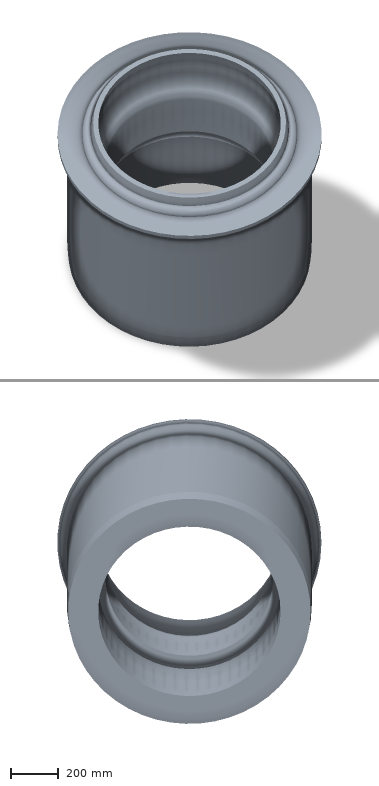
import cadquery as cq
import math

TOTAL_HEIGHT = 850.0
CASING_CHAMFER_TOP = 66.0
CASING_TAPER_START = 693.0
CASING_TOP = 719.0
FLANGE_BOTTOM = 760.0
FLANGE_THICKNESS = 20.0
FLANGE_TOP = FLANGE_BOTTOM + FLANGE_THICKNESS

FLANGE_RADIUS = 1100 / 2
CASING_RADIUS = 1020.0 / 2
CASING_INNER_RADIUS = 980.0 / 2
CASING_BASE_RADIUS = 1010.0 / 2
CASING_RIM_RADIUS = 1015.0 / 2
LOWER_RING_RADIUS = 1080.0 / 2
LOWER_RING_ROUND = FLANGE_BOTTOM - CASING_TOP
UPPER_RING_CENTER_RADIUS = 412.0
UPPER_RING_CENTER_HEIGHT = FLANGE_TOP - 5.0
UPPER_RING_ROUND = 36.0

MOUTH_RADIUS = 760.0 / 2
MOUTH_OUTER_RADIUS = 803 / 2
BELLY_RADIUS = 792 / 2
BELLY_OUTER_RADIUS = 842.0 / 2
SHOULDER_RADIUS = 730.0 / 2
THROAT_RADIUS = 698.0 / 2
SLEEVE_WALL = BELLY_OUTER_RADIUS - BELLY_RADIUS
BELLY_TOP = 750.0
BELLY_BOTTOM = 704.0
SHOULDER_HEIGHT = 629.0
THROAT_TOP = 585.0
SLEEVE_BOTTOM = 375.0

RECESS_RADIUS = 792 / 2
RECESS_COVE_TOP = 346.0
RECESS_COVE_BOTTOM = 302.0
CORE_BORE_RADIUS = 760.0 / 2


def arc_middle(vertical_end, other_end):
    """Middle of the arc that leaves vertical_end vertically and runs to other_end."""
    r0, z0 = vertical_end
    dr = other_end[0] - r0
    dz = other_end[1] - z0
    half_angle = math.atan2(abs(dr), abs(dz))
    arc_radius = (dr**2 + dz**2) / (2 * abs(dr))
    return (
        r0 + math.copysign(arc_radius * (1 - math.cos(half_angle)), dr),
        z0 + math.copysign(arc_radius * math.sin(half_angle), dz),
    )


def turn(profile):
    """Revolve a closed (radius, height) profile about the Z axis."""
    return profile.close().revolve(360, (0, 0, 0), (0, 1, 0))


def tube(outer_radius, inner_radius, bottom, top):
    return (
        cq.Workplane("XY", origin=(0, 0, bottom))
        .circle(outer_radius)
        .circle(inner_radius)
        .extrude(top - bottom)
    )


def sleeve_solid(mouth, belly, shoulder, throat):
    """Solid bounded by one wall face of the sleeve, given its radii from top to bottom."""
    mouth_edge = (mouth, TOTAL_HEIGHT)
    belly_top = (belly, BELLY_TOP)
    belly_bottom = (belly, BELLY_BOTTOM)
    shoulder_point = (shoulder, SHOULDER_HEIGHT)
    throat_top = (throat, THROAT_TOP)
    return turn(
        cq.Workplane("XZ")
        .moveTo(0, TOTAL_HEIGHT)
        .lineTo(*mouth_edge)
        .threePointArc(arc_middle(belly_top, mouth_edge), belly_top)
        .lineTo(*belly_bottom)
        .threePointArc(arc_middle(belly_bottom, shoulder_point), shoulder_point)
        .threePointArc(arc_middle(throat_top, shoulder_point), throat_top)
        .lineTo(throat, SLEEVE_BOTTOM)
        .lineTo(0, SLEEVE_BOTTOM)
    )


sleeve_envelope = sleeve_solid(
    MOUTH_OUTER_RADIUS, BELLY_OUTER_RADIUS, SHOULDER_RADIUS + SLEEVE_WALL, THROAT_RADIUS + SLEEVE_WALL
)
sleeve_bore = sleeve_solid(MOUTH_RADIUS, BELLY_RADIUS, SHOULDER_RADIUS, THROAT_RADIUS)
sleeve = sleeve_envelope.cut(sleeve_bore)


def make_upper_ring():
    """Rounded ring on the flange, fitted against the sleeve mouth."""
    ring_top = UPPER_RING_CENTER_HEIGHT + UPPER_RING_ROUND
    foot_reach = math.sqrt(UPPER_RING_ROUND**2 - (FLANGE_TOP - UPPER_RING_CENTER_HEIGHT) ** 2)
    diagonal = UPPER_RING_ROUND * math.sqrt(0.5)
    ring = turn(
        cq.Workplane("XZ")
        .moveTo(MOUTH_OUTER_RADIUS, FLANGE_TOP)
        .lineTo(UPPER_RING_CENTER_RADIUS + foot_reach, FLANGE_TOP)
        .threePointArc(
            (UPPER_RING_CENTER_RADIUS + diagonal, UPPER_RING_CENTER_HEIGHT + diagonal),
            (UPPER_RING_CENTER_RADIUS, ring_top),
        )
        .lineTo(MOUTH_OUTER_RADIUS, ring_top)
    )
    return ring.cut(sleeve_envelope)


def make_flange():
    return tube(FLANGE_RADIUS, BELLY_OUTER_RADIUS, FLANGE_BOTTOM, FLANGE_TOP)


def make_lower_ring():
    """Quarter-round ring between the casing rim and the flange."""
    outer_top = (LOWER_RING_RADIUS, FLANGE_BOTTOM)
    round_end = (LOWER_RING_RADIUS - LOWER_RING_ROUND, CASING_TOP)
    return turn(
        cq.Workplane("XZ")
        .moveTo(CASING_INNER_RADIUS, CASING_TOP)
        .lineTo(*round_end)
        .threePointArc(arc_middle(outer_top, round_end), outer_top)
        .lineTo(CASING_INNER_RADIUS, FLANGE_BOTTOM)
    )


def make_casing():
    return turn(
        cq.Workplane("XZ")
        .moveTo(CASING_INNER_RADIUS, 0)
        .lineTo(CASING_BASE_RADIUS, 0)
        .lineTo(CASING_RADIUS, CASING_CHAMFER_TOP)
        .lineTo(CASING_RADIUS, CASING_TAPER_START)
        .lineTo(CASING_RIM_RADIUS, CASING_TOP)
        .lineTo(CASING_INNER_RADIUS, CASING_TOP)
    )


def make_core():
    """Filling between casing and sleeve, with a coved recess under the sleeve."""
    cove_top = (RECESS_RADIUS, RECESS_COVE_TOP)
    cove_bottom = (CORE_BORE_RADIUS, RECESS_COVE_BOTTOM)
    filling = tube(CASING_INNER_RADIUS, THROAT_RADIUS, 0, FLANGE_BOTTOM)
    recess = turn(
        cq.Workplane("XZ")
        .lineTo(CORE_BORE_RADIUS, 0)
        .lineTo(*cove_bottom)
        .threePointArc(arc_middle(cove_top, cove_bottom), cove_top)
        .lineTo(RECESS_RADIUS, SLEEVE_BOTTOM)
        .lineTo(0, SLEEVE_BOTTOM)
    )
    return filling.cut(recess).cut(sleeve_envelope)


upper_ring = make_upper_ring()
flange = make_flange()
lower_ring = make_lower_ring()
casing = make_casing()
core = make_core()

result = cq.Compound.makeCompound(
    [
        sleeve.val(),
        upper_ring.val(),
        flange.val(),
        lower_ring.val(),
        casing.val(),
        core.val(),
    ]
)